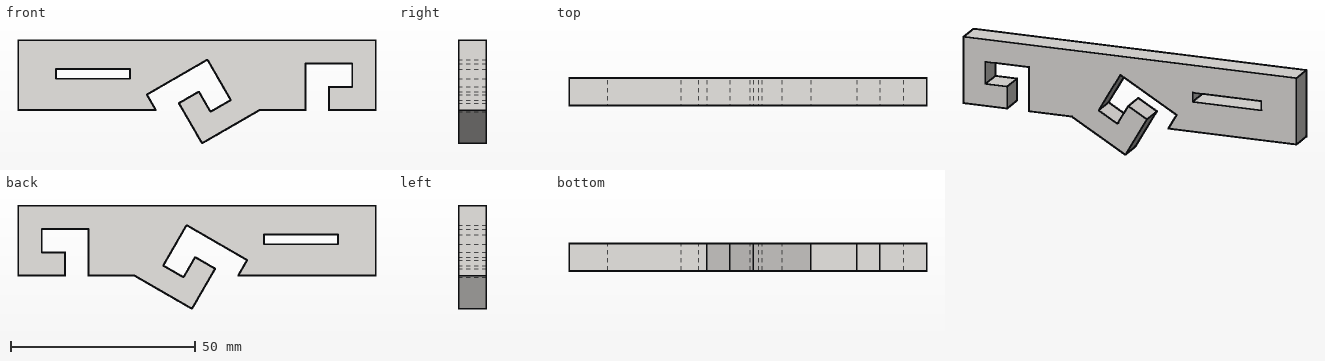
import cadquery as cq
import math

length = 97.0
thickness = 7.5
plate_height = 19.0
total_height = 28.0

slot_left = 10.3
slot_length = 20.0
slot_bottom = 8.5
slot_height = 2.6

step = 6.3
hook_left = 78.0

tilt = math.radians(30)
tip_x = 49.9
tip_z = plate_height - total_height


def tilted(along, across):
    """Point measured along and across the tilted hook from its lowest corner."""
    return (
        tip_x + along * math.cos(tilt) - across * math.sin(tilt),
        tip_z + along * math.sin(tilt) + across * math.cos(tilt),
    )


meeting_x = tip_x - tip_z / math.tan(tilt)
inner_top = 3 * step
tilted_hook = [
    tilted(0, 0),
    tilted(0, 2 * step),
    tilted(step, 2 * step),
    tilted(step, step),
    tilted(2 * step, step),
    tilted(2 * step, inner_top),
    tilted(-step, inner_top),
]
corner_x, corner_z = tilted_hook[-1]
mouth_x = corner_x + corner_z * math.tan(tilt)

straight_hook = [
    (hook_left, 0),
    (hook_left, 2 * step),
    (hook_left + 2 * step, 2 * step),
    (hook_left + 2 * step, step),
    (hook_left + step, step),
    (hook_left + step, 0),
]

outline = [
    (0, plate_height),
    (0, 0),
    (mouth_x, 0),
    *reversed(tilted_hook),
    (meeting_x, 0),
    *straight_hook,
    (length, 0),
    (length, plate_height),
]

plate = cq.Workplane("XZ").polyline(outline).close().extrude(thickness)
slot = (
    cq.Workplane("XZ")
    .moveTo(slot_left, slot_bottom)
    .rect(slot_length, slot_height, centered=False)
    .extrude(thickness)
)
result = plate.cut(slot)